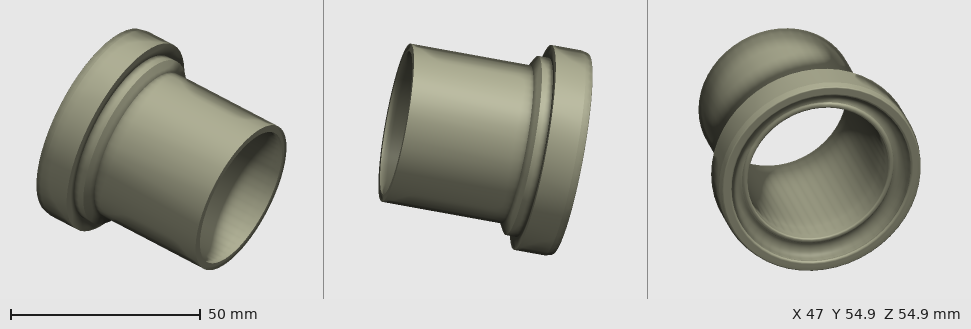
import cadquery as cq
import math

length = 47.0
bore_radius = 38.4 / 2
tube_radius = 42.4 / 2
collar_radius = 48.0 / 2
flange_radius = 54.9 / 2

taper_end = 2.05
flange_end = 10.1
collar_end = 13.05
cone_end = 14.7

taper_drop = 0.4
rim_corner = 0.4

mouth_round = 0.6
groove_outer_radius = 24.4
groove_inner_radius = 20.7
groove_inner_depth = 3.95
groove_arc_radius = 2.7
lip_round = 0.9
lip_outer_radius = 19.8
lip_depth = 3.3
bore_round = 0.5

chord_x = groove_inner_depth - mouth_round
chord_r = groove_inner_radius - groove_outer_radius
chord = math.hypot(chord_x, chord_r)
sagitta = groove_arc_radius - math.sqrt(groove_arc_radius**2 - (chord / 2) ** 2)
groove_mid = (
    (mouth_round + groove_inner_depth) / 2 - sagitta * chord_r / chord,
    (groove_outer_radius + groove_inner_radius) / 2 + sagitta * chord_x / chord,
)

taper_front_radius = flange_radius - taper_drop

section = (
    cq.Workplane("XY")
    .moveTo(length, bore_radius)
    .lineTo(length, tube_radius)
    .lineTo(cone_end, tube_radius)
    .lineTo(collar_end, collar_radius)
    .lineTo(flange_end, collar_radius)
    .lineTo(flange_end, flange_radius)
    .lineTo(taper_end, flange_radius)
    .lineTo(rim_corner, taper_front_radius)
    .radiusArc((0, taper_front_radius - rim_corner), -rim_corner)
    .lineTo(0, groove_outer_radius + mouth_round)
    .radiusArc((mouth_round, groove_outer_radius), -mouth_round)
    .threePointArc(groove_mid, (groove_inner_depth, groove_inner_radius))
    .radiusArc((lip_depth, lip_outer_radius), -lip_round)
    .lineTo(lip_depth, bore_radius + bore_round)
    .radiusArc((lip_depth + bore_round, bore_radius), -bore_round)
    .close()
)
result = section.revolve(360, (0, 0, 0), (1, 0, 0))